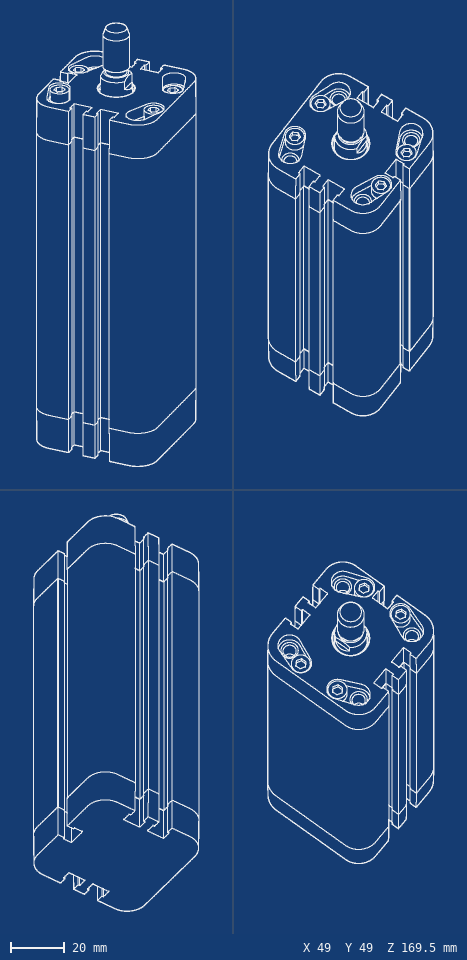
import cadquery as cq
import math

TOTAL_HEIGHT = 169.5
BODY_HEIGHT = 144.0
CAP_HEIGHT = 14.0
TUBE_HEIGHT = BODY_HEIGHT - 2 * CAP_HEIGHT
SIDE = 49.0
CORNER_RADIUS = 8.1
CAP_DRAFT = 0.5

TUBE_SLOT_DEPTH = 6.5
CAP_SLOT_DEPTH = 6.6
SLOT_MOUTH_DEPTH = 3.0
SLOT_MOUTH_WIDTH = 6.0
SLOT_INNER_WIDTH = 7.3
SLOT_OFFSET = 5.5
LEFT_MOUTH_CHAMFER = 0.3

MOUNT_OFFSET = 16.3
SCREW_X = 19.3
SCREW_Y = 8.6
POCKET_DEPTH = 4.7
POCKET_MOUNT_DIAMETER = 8.6
POCKET_SCREW_DIAMETER = 8.0
SCREW_HEAD_DIAMETER = 7.1
SCREW_HEAD_HEIGHT = 4.0
SOCKET_WIDTH = 3.5
SOCKET_DEPTH = 2.0
MOUNT_HOLE_DIAMETER = 5.0
MOUNT_ENTRY_DIAMETER = 6.5

ROD_DIAMETER = 12.0
ROD_CHAMFER = 1.4
ROD_SHOULDER_Z = 150.9
THREAD_DIAMETER = 10.0
THREAD_START_Z = 152.7
THREAD_RUNOUT_HEIGHT = 0.5
NECK_DIAMETER = 8.0
TIP_CHAMFER_HEIGHT = 2.9
FLAT_WIDTH = 10.0
FLAT_START_Z = 146.3

BORE_DIAMETER = 12.5
RECESS_DIAMETER = 13.7
RECESS_RIM_DIAMETER = 14.2
RECESS_DEPTH = 1.7


def rounded_section():
    return cq.Sketch().rect(SIDE, SIDE).vertices().fillet(CORNER_RADIUS)


def slot_cutter(height, depth):
    """One straight undercut slot along Z whose mouth opens through the -Y face."""
    face = -SIDE / 2
    inner_depth = depth - SLOT_MOUTH_DEPTH
    mouth = cq.Workplane("XY").center(0, face).rect(SLOT_MOUTH_WIDTH, 2 * depth).extrude(height)
    inner = (
        cq.Workplane("XY")
        .center(0, face + depth - inner_depth / 2)
        .rect(SLOT_INNER_WIDTH, inner_depth)
        .extrude(height)
    )
    return mouth.union(inner)


def cut_slots(block, height, depth):
    """Cut the five slots through a block standing on Z = 0."""
    cutter = slot_cutter(height, depth)
    for x in (-SLOT_OFFSET, SLOT_OFFSET):
        slot = cutter.translate((x, 0, 0))
        block = block.cut(slot).cut(slot.mirror("XZ"))
    left_slot = cutter.rotate((0, 0, 0), (0, 0, 1), -90)
    return block.cut(left_slot)


def cap_block():
    """Slotted cap with its full section at Z = 0; its outer walls lean inwards going up."""
    block = cq.Workplane("XY").placeSketch(rounded_section()).extrude(CAP_HEIGHT, taper=CAP_DRAFT)
    return cut_slots(block, CAP_HEIGHT, CAP_SLOT_DEPTH)


def make_bottom_cap():
    return cap_block().mirror("XY").translate((0, 0, CAP_HEIGHT))


def make_tube():
    """Straight extrusion; the mouth edges of its left slot are chamfered."""
    block = cq.Workplane("XY").placeSketch(rounded_section()).extrude(TUBE_HEIGHT)
    tube = cut_slots(block, TUBE_HEIGHT, TUBE_SLOT_DEPTH)
    half_side = SIDE / 2
    mouth_edges = cq.selectors.BoxSelector(
        (-half_side - LEFT_MOUTH_CHAMFER, -SLOT_MOUTH_WIDTH, 0),
        (-half_side + LEFT_MOUTH_CHAMFER, SLOT_MOUTH_WIDTH, TUBE_HEIGHT),
    )
    tube = tube.edges("|Z").edges(mouth_edges).chamfer(LEFT_MOUTH_CHAMFER)
    return tube.translate((0, 0, CAP_HEIGHT))


def cylinder(x, y, bottom, diameter, height):
    return cq.Workplane("XY", origin=(x, y, bottom)).circle(diameter / 2).extrude(height)


def countersink(x, y, top, small_diameter, large_diameter):
    """45 degree cone that opens upwards and ends at the given top."""
    depth = (large_diameter - small_diameter) / 2
    base = cq.Vector(x, y, top - depth)
    return cq.Workplane(cq.Solid.makeCone(small_diameter / 2, large_diameter / 2, depth, base))


def tapered_pocket():
    """Pocket in the +X +Y corner: two round ends joined by their outer tangents."""
    floor = BODY_HEIGHT - POCKET_DEPTH
    mount_radius = POCKET_MOUNT_DIAMETER / 2
    screw_radius = POCKET_SCREW_DIAMETER / 2
    dx = SCREW_X - MOUNT_OFFSET
    dy = SCREW_Y - MOUNT_OFFSET
    axis_angle = math.atan2(dy, dx)
    tangent_angle = math.acos((mount_radius - screw_radius) / math.hypot(dx, dy))

    def on_mount(angle):
        return (MOUNT_OFFSET + mount_radius * math.cos(angle), MOUNT_OFFSET + mount_radius * math.sin(angle))

    def on_screw(angle):
        return (SCREW_X + screw_radius * math.cos(angle), SCREW_Y + screw_radius * math.sin(angle))

    start = axis_angle + tangent_angle
    end = axis_angle - tangent_angle
    return (
        cq.Workplane("XY", origin=(0, 0, floor))
        .moveTo(*on_mount(start))
        .threePointArc(on_mount(axis_angle + math.pi), on_mount(end))
        .lineTo(*on_screw(end))
        .threePointArc(on_screw(axis_angle), on_screw(start))
        .close()
        .extrude(POCKET_DEPTH)
    )


def corner_cutter():
    """Everything removed from the +X +Y corner: pocket around the screw head, socket, hole."""
    floor = BODY_HEIGHT - POCKET_DEPTH
    cap_bottom = BODY_HEIGHT - CAP_HEIGHT
    head_top = floor + SCREW_HEAD_HEIGHT
    head = cylinder(SCREW_X, SCREW_Y, floor, SCREW_HEAD_DIAMETER, SCREW_HEAD_HEIGHT)
    socket = (
        cq.Workplane("XY", origin=(SCREW_X, SCREW_Y, head_top - SOCKET_DEPTH))
        .polygon(6, SOCKET_WIDTH, circumscribed=True)
        .extrude(SOCKET_DEPTH)
    )
    hole = cylinder(MOUNT_OFFSET, MOUNT_OFFSET, cap_bottom, MOUNT_HOLE_DIAMETER, floor - cap_bottom)
    entry = countersink(MOUNT_OFFSET, MOUNT_OFFSET, floor, MOUNT_HOLE_DIAMETER, MOUNT_ENTRY_DIAMETER)
    return tapered_pocket().cut(head).union(socket).union(hole).union(entry)


def make_top_cap():
    cap_bottom = BODY_HEIGHT - CAP_HEIGHT
    cap = cap_block().translate((0, 0, cap_bottom))
    right_back = corner_cutter()
    left_back = right_back.mirror("YZ")
    for cutter in (right_back, left_back):
        cap = cap.cut(cutter).cut(cutter.mirror("XZ"))
    bore = cylinder(0, 0, cap_bottom, BORE_DIAMETER, CAP_HEIGHT)
    recess = cylinder(0, 0, BODY_HEIGHT - RECESS_DEPTH, RECESS_DIAMETER, RECESS_DEPTH)
    rim = countersink(0, 0, BODY_HEIGHT, RECESS_DIAMETER, RECESS_RIM_DIAMETER)
    return cap.cut(bore).cut(recess).cut(rim)


def make_rod():
    """Turned rod resting on the tube, with two wrench flats facing -X and +X."""
    rod_radius = ROD_DIAMETER / 2
    thread_radius = THREAD_DIAMETER / 2
    neck_radius = NECK_DIAMETER / 2
    rod_bottom = BODY_HEIGHT - CAP_HEIGHT
    rod = (
        cq.Workplane("XZ")
        .moveTo(0, rod_bottom)
        .lineTo(rod_radius, rod_bottom)
        .lineTo(rod_radius, ROD_SHOULDER_Z - ROD_CHAMFER)
        .lineTo(rod_radius - ROD_CHAMFER, ROD_SHOULDER_Z)
        .lineTo(neck_radius, ROD_SHOULDER_Z)
        .lineTo(neck_radius, THREAD_START_Z)
        .lineTo(thread_radius, THREAD_START_Z + THREAD_RUNOUT_HEIGHT)
        .lineTo(thread_radius, TOTAL_HEIGHT - TIP_CHAMFER_HEIGHT)
        .lineTo(neck_radius, TOTAL_HEIGHT)
        .lineTo(0, TOTAL_HEIGHT)
        .close()
        .revolve(360, (0, 0, 0), (0, 1, 0))
    )
    flat_x = FLAT_WIDTH / 2
    flat_cutter = (
        cq.Workplane("XZ")
        .moveTo(flat_x, FLAT_START_Z)
        .lineTo(rod_radius, FLAT_START_Z - (rod_radius - flat_x))
        .lineTo(rod_radius, ROD_SHOULDER_Z)
        .lineTo(flat_x, ROD_SHOULDER_Z)
        .close()
        .extrude(rod_radius, both=True)
    )
    return rod.cut(flat_cutter).cut(flat_cutter.mirror("YZ"))


bottom_cap = make_bottom_cap()
tube = make_tube()
top_cap = make_top_cap()
rod = make_rod()

result = cq.Compound.makeCompound([bottom_cap.val(), tube.val(), top_cap.val(), rod.val()])